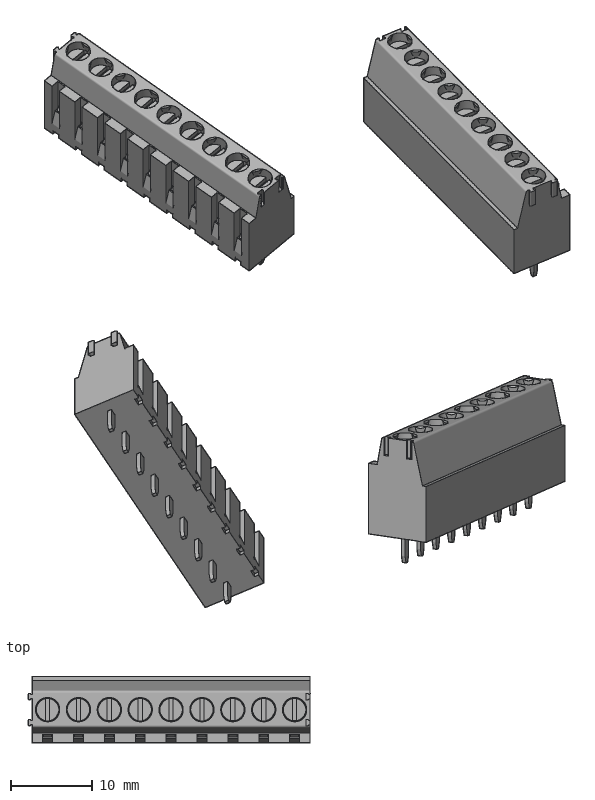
import cadquery as cq
import math

POLES = 9
TOTAL_LENGTH = 34.8
RIDGE_REACH = 0.5
BEAD_REACH = 0.05
BODY_LENGTH = TOTAL_LENGTH - RIDGE_REACH - BEAD_REACH
PITCH = BODY_LENGTH / POLES
DEPTH = 8.2
TOTAL_HEIGHT = 16.1
BODY_HEIGHT = 12.6
MID_Y = DEPTH / 2

FRONT_SHELF_HEIGHT = 9.0
FRONT_SHELF_WIDTH = 1.22
REAR_SHELF_HEIGHT = 7.13
REAR_SHELF_WIDTH = 0.52
TOP_FRONT_INSET = 1.9
TOP_REAR_INSET = 1.8
TOP_ROUNDING = 0.3

WELL_DIAMETER = 3.0
WELL_DEPTH = 1.25
RETAINERS = 3
RETAINER_DISTANCE = 1.35
LEAD_IN_DEPTH = 0.25
SCREW_DIAMETER = 2.8
HEAD_GAP_DEPTH = 0.85
SCREW_SLOT_WIDTH = 0.52
SCREW_SLOT_DEPTH = 0.7
REAR_RETAINER_ANGLE = 30
FRONT_RETAINER_ANGLE = 90
REAR_RETAINER_POLES = (0, 1, 3, 5, 7)

SLOT_WIDTH = 1.22
SLOT_DEPTH = 1.05
RAMP_FOOT_HEIGHT = 1.9
STEP_HEIGHT = 3.85
STEP_FRONT = 0.55
STEP_REAR = 0.73
TONGUE_WIDTH = 0.97
TONGUE_HEIGHT = 4.4

NOTCH_WIDTH = 0.97
NOTCH_HEIGHT = 0.63
NOTCH_DEPTH = 0.55

PIN_WIDTH = 0.9
PIN_THICKNESS = 0.52
PIN_TIP_WIDTH = 0.42
PIN_TIP_LENGTH = 0.9
PIN_LENGTH = TOTAL_HEIGHT - BODY_HEIGHT

JOINT_OFFSET = 1.6
JOINT_HEIGHT = 2.3
JOINT_HALF_WIDTH = 0.42
JOINT_NECK_HALF_WIDTH = 0.28
RIDGE_NECK_LENGTH = 0.15
RIDGE_CHEEK_START = 0.28
RIDGE_ROUNDING = 0.17
GROOVE_DEPTH = 0.52
GROOVE_NECK_LENGTH = 0.15
GROOVE_CHEEK_START = 0.28
BEAD_HALF_WIDTH = 0.1


def side_prism(points, start, length):
    """Extrude a (Y, Z) outline along +X."""
    return cq.Workplane("YZ", origin=(start, 0, 0)).polyline(points).close().extrude(length)


def make_housing():
    outline = [
        (0, 0),
        (DEPTH, 0),
        (DEPTH, REAR_SHELF_HEIGHT),
        (DEPTH - REAR_SHELF_WIDTH, REAR_SHELF_HEIGHT),
        (DEPTH - TOP_REAR_INSET, BODY_HEIGHT),
        (TOP_FRONT_INSET, BODY_HEIGHT),
        (FRONT_SHELF_WIDTH, FRONT_SHELF_HEIGHT),
        (0, FRONT_SHELF_HEIGHT),
    ]
    body = side_prism(outline, 0, BODY_LENGTH)
    return body.faces(">Z").edges("|X").fillet(TOP_ROUNDING)


def make_screw_well(x, retainer_angle):
    """Well with three leaning retainers, a conical lead-in and the outline of a slotted screw head."""
    radius = WELL_DIAMETER / 2
    floor = BODY_HEIGHT - WELL_DEPTH
    head_plane = cq.Workplane("XY", origin=(0, 0, floor))
    bore = head_plane.circle(radius).extrude(WELL_DEPTH)
    lean = math.degrees(math.atan2(radius - RETAINER_DISTANCE, WELL_DEPTH - LEAD_IN_DEPTH))
    retainer_faces = (
        head_plane.polygon(RETAINERS, WELL_DIAMETER / math.cos(math.pi / RETAINERS))
        .extrude(WELL_DEPTH, taper=lean)
        .rotate((0, 0, 0), (0, 0, 1), retainer_angle)
    )
    lead_in_base = cq.Vector(0, 0, BODY_HEIGHT - LEAD_IN_DEPTH)
    lead_in = cq.Workplane(cq.Solid.makeCone(RETAINER_DISTANCE, radius, LEAD_IN_DEPTH, lead_in_base))

    head_gap = head_plane.circle(radius).circle(SCREW_DIAMETER / 2).extrude(-HEAD_GAP_DEPTH)
    driver_slot = head_plane.rect(SCREW_SLOT_WIDTH, SCREW_DIAMETER).extrude(-SCREW_SLOT_DEPTH)
    well = bore.intersect(retainer_faces).union(lead_in).union(head_gap).union(driver_slot)
    return well.translate((x, MID_Y, 0))


def make_front_slot(x):
    """Open slot with a full-width ramp, a level step and a narrow tongue against its rear wall."""
    slot = side_prism(
        [
            (0, RAMP_FOOT_HEIGHT),
            (STEP_FRONT, STEP_HEIGHT),
            (SLOT_DEPTH, STEP_HEIGHT),
            (SLOT_DEPTH, FRONT_SHELF_HEIGHT),
            (0, FRONT_SHELF_HEIGHT),
        ],
        x - SLOT_WIDTH / 2,
        SLOT_WIDTH,
    )
    tongue = side_prism(
        [(STEP_REAR, STEP_HEIGHT), (SLOT_DEPTH, STEP_HEIGHT), (SLOT_DEPTH, TONGUE_HEIGHT)],
        x - TONGUE_WIDTH / 2,
        TONGUE_WIDTH,
    )
    return slot.cut(tongue)


def make_notch(x):
    block = cq.Workplane("XY").box(NOTCH_WIDTH, NOTCH_DEPTH, NOTCH_HEIGHT, (True, False, False))
    return block.translate((x, 0, 0))


def make_pin(x):
    outline = [
        (x - PIN_WIDTH / 2, 0),
        (x + PIN_WIDTH / 2, 0),
        (x + PIN_WIDTH / 2, PIN_TIP_LENGTH - PIN_LENGTH),
        (x + PIN_TIP_WIDTH / 2, -PIN_LENGTH),
        (x - PIN_TIP_WIDTH / 2, -PIN_LENGTH),
        (x - PIN_WIDTH / 2, PIN_TIP_LENGTH - PIN_LENGTH),
    ]
    plane = cq.Workplane("XZ", origin=(0, MID_Y, 0))
    return plane.polyline(outline).close().extrude(PIN_THICKNESS / 2, both=True)


def joint_prism(points):
    """Extrude an (X, Y) outline downwards from the top face by the joint height."""
    plane = cq.Workplane("XY", origin=(0, 0, BODY_HEIGHT))
    return plane.polyline(points).close().extrude(-JOINT_HEIGHT)


def dovetail_outline(wall, neck_length, cheek_start, end, centre):
    """Outline that runs from the wall towards -X as a narrow neck, then widens to parallel cheeks."""
    half_outline = [
        (0, JOINT_NECK_HALF_WIDTH),
        (neck_length, JOINT_NECK_HALF_WIDTH),
        (cheek_start, JOINT_HALF_WIDTH),
        (end, JOINT_HALF_WIDTH),
    ]
    rear = [(wall - reach, centre + width) for reach, width in half_outline]
    front = [(wall - reach, centre - width) for reach, width in reversed(half_outline)]
    return rear + front


def make_ridge(centre):
    """Dovetail ridge on the left end wall with rounded outer edges."""
    outline = dovetail_outline(0, RIDGE_NECK_LENGTH, RIDGE_CHEEK_START, RIDGE_REACH, centre)
    return joint_prism(outline).faces("<X").edges("|Z").fillet(RIDGE_ROUNDING)


def make_groove(centre):
    """Undercut groove in the right end wall that accepts a neighbour's ridge."""
    outline = dovetail_outline(
        BODY_LENGTH, GROOVE_NECK_LENGTH, GROOVE_CHEEK_START, GROOVE_DEPTH, centre
    )
    return joint_prism(outline)


def make_bead():
    """Small pointed bead on the right end wall, level with the rear lip of the rear groove."""
    centre = MID_Y + JOINT_OFFSET + JOINT_HALF_WIDTH
    return joint_prism(
        [
            (BODY_LENGTH, centre - BEAD_HALF_WIDTH),
            (BODY_LENGTH + BEAD_REACH, centre),
            (BODY_LENGTH, centre + BEAD_HALF_WIDTH),
        ]
    )


result = make_housing()
for centre in (MID_Y + JOINT_OFFSET, MID_Y - JOINT_OFFSET):
    result = result.union(make_ridge(centre)).cut(make_groove(centre))
result = result.union(make_bead())

for pole in range(POLES):
    x = (pole + 0.5) * PITCH
    retainer_angle = REAR_RETAINER_ANGLE if pole in REAR_RETAINER_POLES else FRONT_RETAINER_ANGLE
    result = result.cut(make_screw_well(x, retainer_angle))
    result = result.cut(make_front_slot(x))
    result = result.cut(make_notch(x))
    result = result.union(make_pin(x))